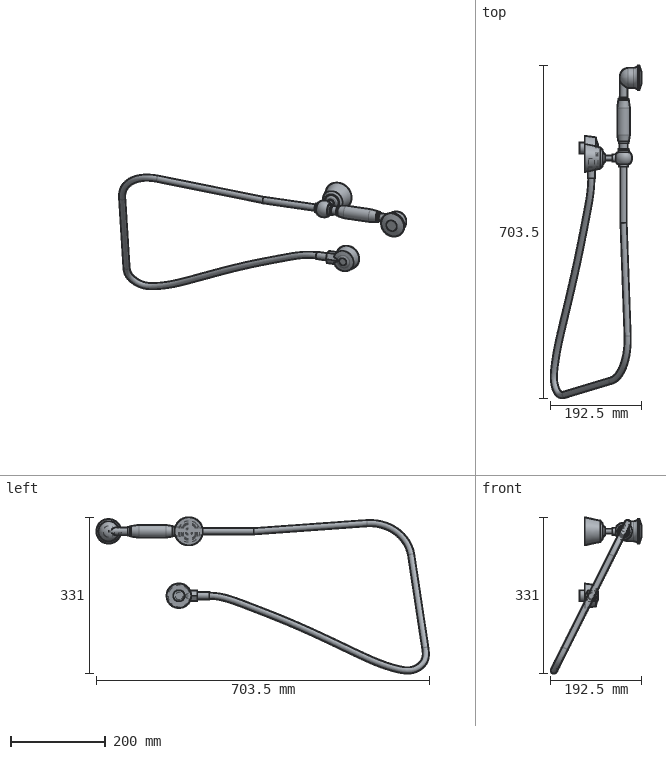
import cadquery as cq
import math


handle_x = 82.4
outlet_y = 21.0
outlet_drop = 136.2
outlet_hose_x = 14.2
head_y = 169.4

holder_base_radius = 30.0
holder_shoulder_radius = 22.7
holder_shoulder_x = 33.5
holder_ring_x = 38.0
holder_ring_radius = 17.0
holder_cap_radius = 15.0
holder_nose_x = 41.5
holder_nose_radius = 10.0
stem_collar_x = 44.0
stem_collar_radius = 7.5
stem_radius = 5.5
stem_flare_x = 59.0
stem_flare_radius = 8.0
ball_radius = 18.3

neck_radius = 8.4
tube_radius = 7.2
hose_radius = 6.9
tube_end_y = -137.0
ball_bottom_y = -13.0
ball_top_y = 12.0
collar_bottom_y = -18.0
collar_radius = 10.0
nut_radius = 11.5
nut_shoulder_y = 16.7
nut_top_y = 20.0
nut_top_radius = 10.8
lower_neck_radius = 9.2
neck_ring_y = 31.0
neck_ring_radius = 10.5
grip_cone_y = 35.0
grip_cone_radius = 11.5
grip_start_y = 49.0
grip_end_y = 106.0
grip_radius = 13.8
grip_tip_y = 122.0
grip_cap_radius = 11.0
grip_cap_y = 125.0
neck_step_radius = 9.2
neck_step_y = 128.5

head_back_x = -8.3
head_body_x = 9.3
head_body_radius = 21.5
head_body_end_x = 20.0
head_waist_x = 25.0
head_waist_radius = 22.2
head_rim_x = 30.5
head_rim_radius = 26.2
head_rim_thickness = 3.0
head_face_x = 38.3
head_face_radius = 12.0

outlet_base_radius = 26.2
outlet_front_radius = 23.0
outlet_depth = 24.0
outlet_ring_x = 26.0
outlet_ring_radius = 14.0
outlet_cap_x = 28.5
outlet_cap_radius = 8.0
inlet_radius = 12.0
inlet_length = 11.2
nut_sides = 6
nut_across_flats = 23.2
nut_end_y = -18.0
sleeve_radius = 8.0
sleeve_end_y = -43.0

hose_span = math.hypot(handle_x - outlet_hose_x, outlet_drop)
hose_corner = (-25.8, -459.0)
hose_corner_radius = 88.0
hose_straight_end = (277.0, -500.0)
hose_loop = [
    (305.0, -498.5),
    (327.3, -474.0),
    (325.2, -440.0),
    (288.4, -355.0),
    (218.4, -219.6),
    (173.3, -118.0),
]


def turned_about_x(profile, x, y, z):
    """Revolve an (x, radius) profile about an X-parallel axis through (x, y, z)."""
    return profile.close().revolve(360, (0, 0, 0), (1, 0, 0)).translate((x, y, z))


def cylinder_along_y(radius, start_y, end_y, x, z):
    plane = cq.Plane(origin=(x, start_y, z), xDir=(1, 0, 0), normal=(0, 1, 0))
    return cq.Workplane(plane).circle(radius).extrude(end_y - start_y)


def make_holder():
    profile = (
        cq.Workplane("XY")
        .lineTo(0, holder_base_radius)
        .lineTo(holder_shoulder_x, holder_shoulder_radius)
        .lineTo(holder_ring_x, holder_ring_radius)
        .lineTo(holder_ring_x, holder_cap_radius)
        .lineTo(holder_nose_x, holder_nose_radius)
        .lineTo(stem_collar_x, stem_collar_radius)
        .lineTo(stem_collar_x, stem_radius)
        .lineTo(stem_flare_x, stem_radius)
        .lineTo(stem_flare_x, stem_flare_radius)
        .lineTo(handle_x, stem_flare_radius)
        .lineTo(handle_x, 0)
    )
    return turned_about_x(profile, 0, 0, 0)


def make_handle():
    ball_bottom_radius = math.sqrt(ball_radius**2 - ball_bottom_y**2)
    ball_top_radius = math.sqrt(ball_radius**2 - ball_top_y**2)
    profile = (
        cq.Workplane("XY")
        .moveTo(0, tube_end_y)
        .lineTo(tube_radius, tube_end_y)
        .lineTo(tube_radius, collar_bottom_y)
        .lineTo(collar_radius, collar_bottom_y)
        .lineTo(collar_radius, ball_bottom_y)
        .lineTo(ball_bottom_radius, ball_bottom_y)
        .threePointArc((ball_radius, 0), (ball_top_radius, ball_top_y))
        .lineTo(nut_radius, ball_top_y)
        .lineTo(nut_radius, nut_shoulder_y)
        .lineTo(nut_top_radius, nut_shoulder_y)
        .lineTo(nut_top_radius, nut_top_y)
        .lineTo(lower_neck_radius, nut_top_y)
        .lineTo(lower_neck_radius, neck_ring_y)
        .lineTo(neck_ring_radius, neck_ring_y)
        .lineTo(neck_ring_radius, grip_cone_y)
        .lineTo(grip_cone_radius, grip_cone_y)
        .lineTo(grip_radius, grip_start_y)
        .lineTo(grip_radius, grip_end_y)
        .lineTo(grip_cone_radius, grip_tip_y)
        .lineTo(grip_cap_radius, grip_tip_y)
        .lineTo(grip_cap_radius, grip_cap_y)
        .lineTo(neck_step_radius, grip_cap_y)
        .lineTo(neck_step_radius, neck_step_y)
        .lineTo(neck_radius, neck_step_y)
        .lineTo(neck_radius, head_y)
        .lineTo(0, head_y)
        .close()
    )
    return profile.revolve(360, (0, 0, 0), (0, 1, 0)).translate((handle_x, 0, 0))


def make_head():
    back_depth = head_body_x - head_back_x
    back_middle = (
        head_body_x - back_depth * math.cos(math.pi / 4),
        head_body_radius * math.sin(math.pi / 4),
    )
    rim_front_x = head_rim_x + head_rim_thickness
    profile = (
        cq.Workplane("XY")
        .moveTo(head_back_x, 0)
        .threePointArc(back_middle, (head_body_x, head_body_radius))
        .lineTo(head_body_end_x, head_body_radius)
        .threePointArc((head_waist_x, head_waist_radius), (head_rim_x, head_rim_radius))
        .lineTo(rim_front_x, head_rim_radius)
        .lineTo(head_face_x, head_face_radius)
        .lineTo(head_face_x, 0)
    )
    return turned_about_x(profile, handle_x, head_y, 0)


def make_outlet():
    profile = (
        cq.Workplane("XY")
        .moveTo(-inlet_length, 0)
        .lineTo(-inlet_length, inlet_radius)
        .lineTo(0, inlet_radius)
        .lineTo(0, outlet_base_radius)
        .lineTo(outlet_depth, outlet_front_radius)
        .lineTo(outlet_ring_x, outlet_ring_radius)
        .lineTo(outlet_cap_x, outlet_cap_radius)
        .lineTo(outlet_cap_x, 0)
    )
    body = turned_about_x(profile, 0, outlet_y, -outlet_drop)
    nut_plane = cq.Plane(
        origin=(outlet_hose_x, outlet_y, -outlet_drop), xDir=(1, 0, 0), normal=(0, -1, 0)
    )
    corner_diameter = nut_across_flats / math.cos(math.pi / nut_sides)
    nut = cq.Workplane(nut_plane).polygon(nut_sides, corner_diameter).extrude(outlet_y - nut_end_y)
    sleeve = cylinder_along_y(sleeve_radius, sleeve_end_y, nut_end_y, outlet_hose_x, -outlet_drop)
    return body.union(nut).union(sleeve)


def unit(start, end):
    """Direction of length one from start to end."""
    length = math.dist(start, end)
    return ((end[0] - start[0]) / length, (end[1] - start[1]) / length)


def step(place, direction, distance):
    """Place reached by moving a distance from a place."""
    return (place[0] + direction[0] * distance, place[1] + direction[1] * distance)


def make_hose():
    hose_start = (0, tube_end_y)
    hose_end = (hose_span, sleeve_end_y)
    first_run = unit(hose_start, hose_corner)
    second_run = unit(hose_corner, hose_straight_end)
    turn = math.acos(first_run[0] * second_run[0] + first_run[1] * second_run[1])
    setback = hose_corner_radius * math.tan(turn / 2)
    bend_start = step(hose_corner, first_run, -setback)
    bend_end = step(hose_corner, second_run, setback)
    inward = unit((0, 0), (second_run[0] - first_run[0], second_run[1] - first_run[1]))
    corner_gap = hose_corner_radius / math.cos(turn / 2) - hose_corner_radius
    bend_middle = step(hose_corner, inward, corner_gap)

    downward = (-(handle_x - outlet_hose_x) / hose_span, 0, -outlet_drop / hose_span)
    across = (-downward[2], 0, downward[0])
    plane = cq.Plane(origin=(handle_x, 0, 0), xDir=downward, normal=across)
    loop_tangents = [second_run, (0, 1)]
    path = (
        cq.Workplane(plane)
        .moveTo(*hose_start)
        .lineTo(*bend_start)
        .threePointArc(bend_middle, bend_end)
        .lineTo(*hose_straight_end)
        .spline([*hose_loop, hose_end], tangents=loop_tangents, scale=False, includeCurrent=True)
    )
    start_direction = (downward[0] * first_run[0], first_run[1], downward[2] * first_run[0])
    section_plane = cq.Plane(origin=(handle_x, tube_end_y, 0), xDir=across, normal=start_direction)
    return cq.Workplane(section_plane).circle(hose_radius).sweep(path)


result = make_handle()
for piece in (make_holder(), make_head(), make_outlet(), make_hose()):
    result = result.union(piece)